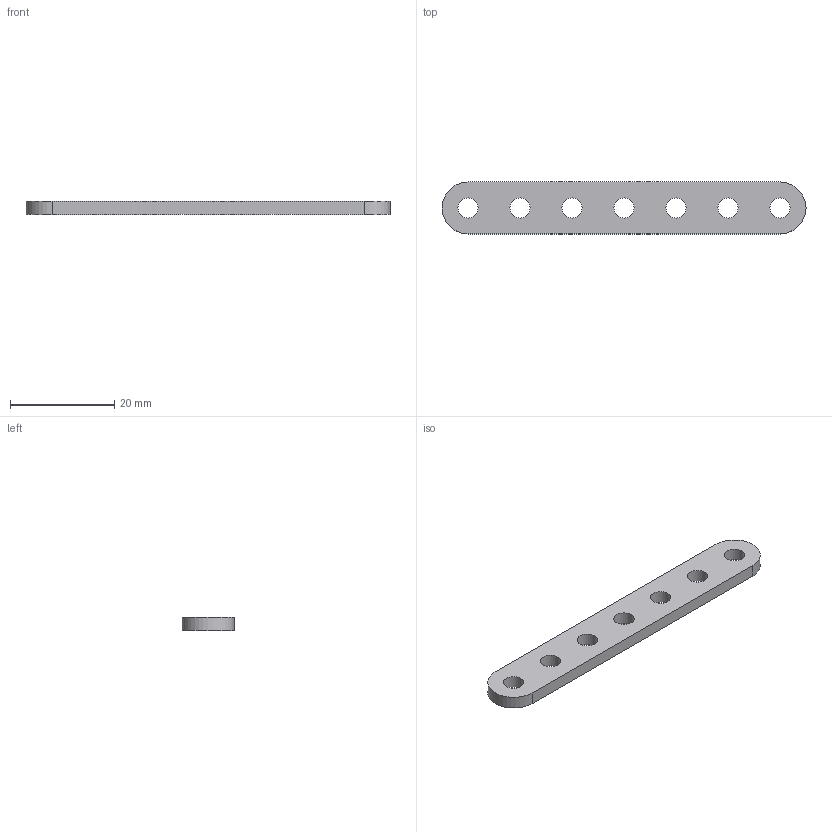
import cadquery as cq

hole_count = 7
hole_pitch = 10.0
hole_diameter = 3.9
bar_width = 10.0
bar_thickness = 2.5

hole_span = (hole_count - 1) * hole_pitch
bar_length = hole_span + bar_width


def make_bar():
    """Flat bar with full-round ends, centred on the origin in X and Y."""
    return cq.Workplane("XY").slot2D(bar_length, bar_width).extrude(bar_thickness)


def drill_hole_row(bar):
    """Drill the evenly spaced row of through holes along the bar's centreline."""
    return (
        bar.faces(">Z")
        .workplane(origin=(0, 0, bar_thickness))
        .rarray(hole_pitch, bar_width, hole_count, 1)
        .hole(hole_diameter)
    )


result = drill_hole_row(make_bar())